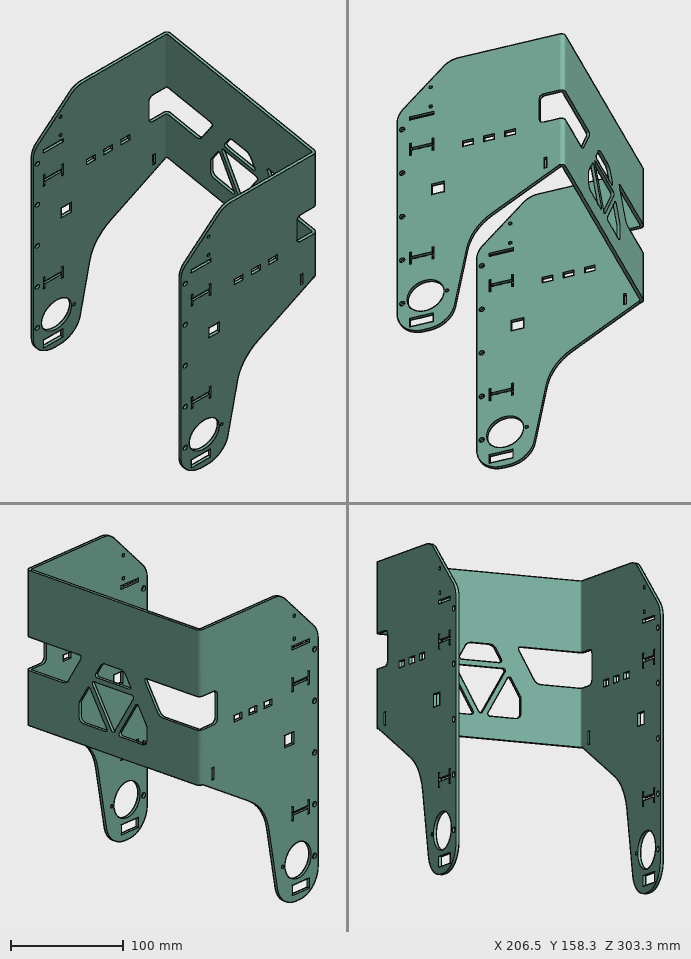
import cadquery as cq
import math

width = 206.5
depth = 158.3
height = 303.3
sheet = 3.0
bend_outer_radius = 4.2

wall_bottom = 153.0
nose_chamfer = 50.0
nose_radius = 20.0
knee = (70.0, 104.0)
knee_radius = 50.0
leg_lean = math.radians(10.5)
foot_radius = 25.0

window_bottom = 206.2
window_top = 238.7
window_side_depth = 23.7
window_side_radius = 5.0
window_tip_radius = 2.0
window_root_radius = 8.0
window_apex = 300.0

lattice_angle = math.radians(59.4)
slope = math.tan(lattice_angle)
truss_bottom = 173.5
truss_apex = 260.8
truss_half_width = 40.3
truss_top_radius = 8.0
truss_side_radius = 5.5
truss_tip_radius = 2.0
rib = 5.0
rib_line = 222.5

edge_hole_diameter = 5.0
edge_hole_y = 5.0
edge_hole_bottom = 35.8
edge_hole_pitch = 50.0
edge_hole_count = 5
pin_diameter = 3.0
pin_centres = [(31.8, 277.0), (31.8, 254.8), (47.3, 38.8)]
bore_diameter = 35.0
bore_centre = (27.0, 38.8)
row_slot_size = (10.0, 6.0)
row_slot_start = (67.0, 203.2)
row_slot_pitch = 20.0
row_slot_count = 3
upper_slot = ((23.5, 246.5), (23.0, 3.3))
rear_slot = ((140.5, 159.2), (2.7, 11.8))
square_opening = ((38.5, 159.2), (12.0, 11.8))
foot_slot = ((23.0, 11.8), (22.5, 9.7))
tee_slot_y = 23.5
tee_slot_length = 23.0
tee_slot_height = 13.3
tee_slot_flange = 1.8
tee_slot_web = 2.7


def rounded_outline(plane, corners):
    """Closed outline from (u, v, radius) corners, with a tangent arc where the radius is not zero."""
    count = len(corners)
    sketch = cq.Workplane(plane)
    for i, (u, v, radius) in enumerate(corners):
        here = cq.Vector(u, v)
        to_last = (cq.Vector(*corners[i - 1][:2]) - here).normalized()
        to_next = (cq.Vector(*corners[(i + 1) % count][:2]) - here).normalized()
        half_angle = to_last.getAngle(to_next) / 2
        setback = radius / math.tan(half_angle)
        start = here + to_last * setback
        end = here + to_next * setback
        bisector = (to_last + to_next).normalized()
        middle = here + bisector * (radius / math.sin(half_angle) - radius)
        sketch = sketch.moveTo(start.x, start.y) if i == 0 else sketch.lineTo(start.x, start.y)
        if radius > 0:
            sketch = sketch.threePointArc((middle.x, middle.y), (end.x, end.y))
    return sketch.close()


def through_plates(sketch):
    return sketch.extrude(width, both=True)


def through_wall(corners):
    back_plane = cq.Plane(origin=(0, depth, 0), xDir=(1, 0, 0), normal=(0, -1, 0))
    return rounded_outline(back_plane, corners).extrude(bend_outer_radius)


def mirrored(corners):
    return [(-x, z, radius) for x, z, radius in corners]


def channel():
    outer = cq.Workplane("XY").box(width, depth, height, centered=(True, False, False))
    outer = outer.edges("|Z and >Y").fillet(bend_outer_radius)
    inner = cq.Workplane("XY").box(
        width - 2 * sheet, depth - sheet, height, centered=(True, False, False)
    )
    inner = inner.edges("|Z and >Y").fillet(bend_outer_radius - sheet)
    return outer.cut(inner)


def side_profile():
    leg_foot_y = knee[0] - knee[1] * math.tan(leg_lean)
    return through_plates(rounded_outline("YZ", [
        (depth, height, 0),
        (nose_chamfer, height, nose_radius),
        (0, height - nose_chamfer, nose_radius),
        (0, 0, foot_radius),
        (leg_foot_y, 0, foot_radius),
        (*knee, knee_radius),
        (depth - bend_outer_radius, wall_bottom, 0),
        (depth, wall_bottom, 0),
    ]))


def side_windows():
    """Notches that wrap around both bends, from the side plates into the back wall."""
    front = depth - window_side_depth
    notch = through_plates(rounded_outline("YZ", [
        (front, window_bottom, window_side_radius),
        (front, window_top, window_side_radius),
        (depth, window_top, 0),
        (depth, window_bottom, 0),
    ]))
    solid_middle = cq.Workplane("XY").box(
        width - 2 * bend_outer_radius, depth, height, centered=(True, False, False)
    )
    cutter = notch.cut(solid_middle)
    wall_notch = [
        (width / 2, window_bottom, 0),
        (width / 2, window_top, 0),
        ((window_apex - window_top) / slope, window_top, window_tip_radius),
        ((window_apex - window_bottom) / slope, window_bottom, window_root_radius),
    ]
    return cutter.union(through_wall(wall_notch)).union(through_wall(mirrored(wall_notch)))


def truss_openings():
    """Top, middle and two lower openings, separated by ribs of equal width."""
    rib_rise = rib / math.cos(lattice_angle)
    lower_apex = truss_bottom - rib_rise
    triangle_top = rib_line - rib
    top_opening = [
        ((truss_apex - window_top) / slope, window_top, truss_top_radius),
        ((truss_apex - rib_line) / slope, rib_line, truss_tip_radius),
    ]
    top_opening += mirrored(reversed(top_opening))
    half_top = (triangle_top - truss_bottom) / slope
    triangle = [
        (-half_top, triangle_top, truss_tip_radius),
        (half_top, triangle_top, truss_tip_radius),
        (0, truss_bottom, truss_tip_radius),
    ]
    tip_x = (truss_apex - lower_apex) / 2 / slope
    tip_z = (truss_apex + lower_apex) / 2
    lower_opening = [
        (rib_rise / slope, truss_bottom, truss_tip_radius),
        (truss_half_width, truss_bottom, truss_side_radius),
        (truss_half_width, truss_apex - truss_half_width * slope, truss_side_radius),
        (tip_x, tip_z, truss_tip_radius),
    ]
    openings = through_wall(top_opening).union(through_wall(triangle))
    return openings.union(through_wall(lower_opening)).union(through_wall(mirrored(lower_opening)))


def round_holes():
    edge_holes = [
        (edge_hole_y, edge_hole_bottom + i * edge_hole_pitch) for i in range(edge_hole_count)
    ]
    holes = through_plates(cq.Workplane("YZ").pushPoints(edge_holes).circle(edge_hole_diameter / 2))
    pins = through_plates(cq.Workplane("YZ").pushPoints(pin_centres).circle(pin_diameter / 2))
    bore = through_plates(cq.Workplane("YZ").center(*bore_centre).circle(bore_diameter / 2))
    return holes.union(pins).union(bore)


def slot(centre, size):
    return through_plates(cq.Workplane("YZ").center(*centre).rect(*size))


def double_tee_slot(z):
    """A thin web slot with an upright slot at each end."""
    flange_offset = (tee_slot_length - tee_slot_flange) / 2
    cutter = slot((tee_slot_y, z), (tee_slot_length, tee_slot_web))
    for side in (-1, 1):
        flange_centre = (tee_slot_y + side * flange_offset, z)
        cutter = cutter.union(slot(flange_centre, (tee_slot_flange, tee_slot_height)))
    return cutter


result = channel().intersect(side_profile())
result = result.cut(side_windows()).cut(truss_openings()).cut(round_holes())

for centre, size in (upper_slot, rear_slot, square_opening, foot_slot):
    result = result.cut(slot(centre, size))

for i in range(row_slot_count):
    row_centre = (row_slot_start[0] + i * row_slot_pitch, row_slot_start[1])
    result = result.cut(slot(row_centre, row_slot_size))

double_tee_pitches = (1, 3.5)
for pitches_up in double_tee_pitches:
    result = result.cut(double_tee_slot(edge_hole_bottom + pitches_up * edge_hole_pitch))